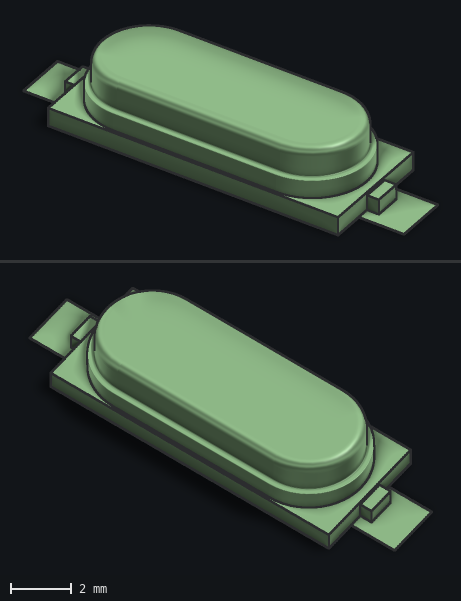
import cadquery as cq

base_length = 11.43
base_width = 4.5
base_height = 0.72

lead_span = 15.0
lead_width = 2.04
lead_thickness = 0.02
stub_span = 12.36
stub_width = 1.05
stub_height = 0.6

total_height = 2.52
flange_length = 10.72
flange_width = 4.3
flange_top = 1.41
flange_edge_radius = 0.03
cap_length = 10.26
cap_width = 3.84
cap_edge_radius = 0.35
cap_foot_radius = 0.05


def centered_box(length, width, height):
    """Box centred in X and Y, standing on Z = 0."""
    return cq.Workplane("XY").box(length, width, height, centered=(True, True, False))


def round_ended_block(length, width, bottom, top):
    """Upright block whose outline has a semicircle at each end."""
    return cq.Workplane("XY").workplane(offset=bottom).slot2D(length, width).extrude(top - bottom)


base = (
    centered_box(base_length, base_width, base_height)
    .union(centered_box(lead_span, lead_width, lead_thickness))
    .union(centered_box(stub_span, stub_width, stub_height))
)

flange = round_ended_block(flange_length, flange_width, base_height, flange_top)
flange = flange.faces(">Z").edges().fillet(flange_edge_radius)

cap = round_ended_block(cap_length, cap_width, flange_top, total_height)
cap = cap.faces(">Z").edges().fillet(cap_edge_radius)

can = flange.union(cap)

foot_reach = cap_width / 2 + flange_edge_radius
foot_edges = cq.selectors.BoxSelector(
    (-cap_length, -foot_reach, flange_top - flange_edge_radius / 2),
    (cap_length, foot_reach, flange_top + flange_edge_radius / 2),
    boundingbox=True,
)
can = can.edges(foot_edges).fillet(cap_foot_radius)

result = base.union(can)